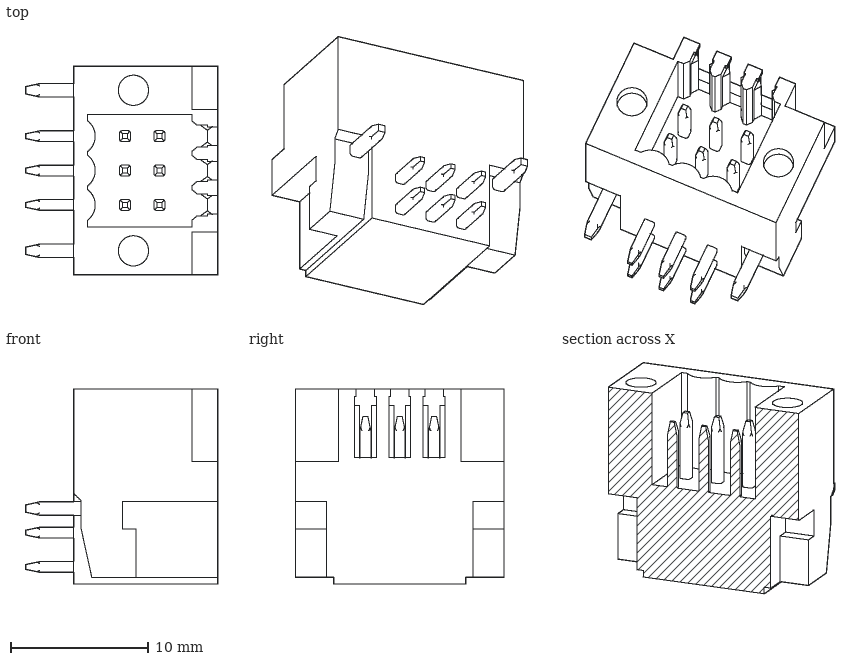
import cadquery as cq

BODY_LENGTH = 10.5
BODY_WIDTH = 15.18
BODY_HEIGHT = 14.2
HALF_WIDTH = BODY_WIDTH / 2

PITCH = 2.5
ROW_Y = (-PITCH, 0, PITCH)
SMALL_PIN_SIZE = 0.8
SMALL_TIP_SIZE = 0.36
SMALL_PIN_ROUND = 0.2
TIP_LENGTH = 1.05
PIN_REACH = 3.5
PIN_ROOT = 1.0
UPPER_PIN_Z = 3.75
LOWER_PIN_Z = UPPER_PIN_Z - PITCH
FIRST_CONTACT_X = 3.74
CONTACT_X = (FIRST_CONTACT_X, FIRST_CONTACT_X + PITCH)
CONTACT_TOP = 12.2

ANCHOR_Y = 5.84
ANCHOR_Z = 5.5
ANCHOR_SIZE = 1.0
ANCHOR_TIP_SIZE = 0.54
ANCHOR_ROUND = 0.25

CAVITY_WIDTH = 8.18
CAVITY_START_X = 1.0
CAVITY_END_X = 8.6
CAVITY_FLOOR_Z = 7.2
SCALLOP_HALF_CHORD = 1.13
SCALLOP_RISE = 0.57

SLOT_MOUTH_HALF = 1.12
SLOT_HALF = 0.8
SLOT_CHAMFER_LENGTH = 0.37
SLOT_STEP_X = 9.73
SLOT_OUTER_FLOOR_Z = 9.2
LIP_HALF_GAP = 0.67
LIP_HEIGHT = 0.55
RIB_HALF_GAP = 0.43
RIB_HALF_LENGTH = 0.5
RIB_TOP_Z = BODY_HEIGHT - 1.2

HOLE_DIAMETER = 2.2
HOLE_X = 4.35
HOLE_DEPTH = 1.1

NOTCH_WIDTH = 3.13
NOTCH_DEPTH = 5.26

LEG_WIDTH = 2.77
LEG_BOTTOM_Z = 0.5
LEG_FACE_X = 0.55
LEG_FOOT_X = 1.32
LEG_CHAMFER_TOP_Z = 6.6
LEG_CHAMFER_BOTTOM_Z = 6.07
LEG_SLANT_TOP_Z = 4.0
UNDERCUT_DEPTH = 2.26
UNDERCUT_TOP_Z = 6.0
UNDERCUT_STEP_Z = 4.0
UNDERCUT_UPPER_X = 3.55
UNDERCUT_LOWER_X = 4.55


def box(x_range, y_range, z_range):
    """Axis-aligned box between the given limits."""
    x0, x1 = x_range
    y0, y1 = y_range
    z0, z1 = z_range
    return cq.Workplane("XY").box(x1 - x0, y1 - y0, z1 - z0, centered=False).translate((x0, y0, z0))


def both_sides(shape):
    """The shape together with its mirror image across the mid-width plane."""
    return shape.union(shape.mirror("XZ"))


def pin(size, tip_size, corner_round, length):
    """Square pin with rounded edges along +Z, ending in a four-sided taper."""
    shaft = cq.Workplane("XY").rect(size, size).extrude(length).edges("|Z").fillet(corner_round)
    taper = (
        cq.Workplane("XY", origin=(0, 0, length - TIP_LENGTH))
        .rect(size, size)
        .workplane(offset=TIP_LENGTH)
        .rect(tip_size, tip_size)
        .loft()
    )
    straight = cq.Workplane("XY").rect(size, size).extrude(length - TIP_LENGTH)
    return shaft.intersect(straight.union(taper))


def solder_pin(size, tip_size, corner_round):
    """Pin on the X axis, rooted in the housing and pointing towards -X."""
    upright = pin(size, tip_size, corner_round, PIN_REACH + PIN_ROOT)
    return upright.rotate((0, 0, 0), (0, 1, 0), -90).translate((PIN_ROOT, 0, 0))


def side_profile(points, depth):
    """X-Z outline cut inwards by depth from the -Y side face."""
    return cq.Workplane("XZ", origin=(0, -HALF_WIDTH, 0)).polyline(points).close().extrude(-depth)


def leg_relief():
    """Material removed ahead of and below the leg on the -Y side."""
    return side_profile(
        [
            (0, 0),
            (0, LEG_CHAMFER_TOP_Z),
            (LEG_FACE_X, LEG_CHAMFER_BOTTOM_Z),
            (LEG_FACE_X, LEG_SLANT_TOP_Z),
            (LEG_FOOT_X, LEG_BOTTOM_Z),
            (BODY_LENGTH, LEG_BOTTOM_Z),
            (BODY_LENGTH, 0),
        ],
        LEG_WIDTH,
    )


def leg_undercut():
    """Stepped recess behind the leg on the -Y side, open to the +X face."""
    return side_profile(
        [
            (UNDERCUT_LOWER_X, LEG_BOTTOM_Z),
            (UNDERCUT_LOWER_X, UNDERCUT_STEP_Z),
            (UNDERCUT_UPPER_X, UNDERCUT_STEP_Z),
            (UNDERCUT_UPPER_X, UNDERCUT_TOP_Z),
            (BODY_LENGTH, UNDERCUT_TOP_Z),
            (BODY_LENGTH, LEG_BOTTOM_Z),
        ],
        UNDERCUT_DEPTH,
    )


def corner_notch():
    """Upper notch in the -Y, +X corner."""
    return box(
        (CAVITY_END_X, BODY_LENGTH),
        (-HALF_WIDTH, -HALF_WIDTH + NOTCH_WIDTH),
        (BODY_HEIGHT - NOTCH_DEPTH, BODY_HEIGHT),
    )


def screw_hole():
    """Blind hole in the top face on the -Y side."""
    top_plane = cq.Workplane("XY", origin=(HOLE_X, -ANCHOR_Y, BODY_HEIGHT))
    return top_plane.circle(HOLE_DIAMETER / 2).extrude(-HOLE_DEPTH)


def plug_cavity():
    """Open-topped cavity whose -X wall swells into one scallop per contact row."""
    half = CAVITY_WIDTH / 2
    outline = (
        cq.Workplane("XY", origin=(0, 0, CAVITY_FLOOR_Z))
        .moveTo(CAVITY_END_X, half)
        .lineTo(CAVITY_END_X, -half)
        .lineTo(CAVITY_START_X, -half)
    )
    for y in ROW_Y:
        outline = outline.lineTo(CAVITY_START_X, y - SCALLOP_HALF_CHORD).threePointArc(
            (CAVITY_START_X + SCALLOP_RISE, y), (CAVITY_START_X, y + SCALLOP_HALF_CHORD)
        )
    return outline.lineTo(CAVITY_START_X, half).close().extrude(BODY_HEIGHT - CAVITY_FLOOR_Z)


def coding_rib():
    """Triangular rib on the -Y wall of a coding slot centred on Y = 0."""
    return (
        cq.Workplane("XY", origin=(0, 0, CAVITY_FLOOR_Z))
        .polyline(
            [
                (SLOT_STEP_X - RIB_HALF_LENGTH, -SLOT_HALF),
                (SLOT_STEP_X, -RIB_HALF_GAP),
                (SLOT_STEP_X + RIB_HALF_LENGTH, -SLOT_HALF),
            ]
        )
        .close()
        .extrude(RIB_TOP_Z - CAVITY_FLOOR_Z)
    )


def coding_slot():
    """Slot through the +X wall at Y = 0, with a chamfered mouth, ribs, top lips and a raised outer floor."""
    chamfer_end_x = CAVITY_END_X + SLOT_CHAMFER_LENGTH
    slot = (
        cq.Workplane("XY", origin=(0, 0, CAVITY_FLOOR_Z))
        .polyline(
            [
                (CAVITY_END_X, -SLOT_MOUTH_HALF),
                (chamfer_end_x, -SLOT_HALF),
                (BODY_LENGTH, -SLOT_HALF),
                (BODY_LENGTH, SLOT_HALF),
                (chamfer_end_x, SLOT_HALF),
                (CAVITY_END_X, SLOT_MOUTH_HALF),
            ]
        )
        .close()
        .extrude(BODY_HEIGHT - CAVITY_FLOOR_Z)
    )
    outer_x = (SLOT_STEP_X, BODY_LENGTH)
    lip = box(outer_x, (-SLOT_HALF, -LIP_HALF_GAP), (BODY_HEIGHT - LIP_HEIGHT, BODY_HEIGHT))
    raised_floor = box(outer_x, (-SLOT_HALF, SLOT_HALF), (CAVITY_FLOOR_Z, SLOT_OUTER_FLOOR_Z))
    return slot.cut(both_sides(coding_rib())).cut(both_sides(lip)).cut(raised_floor)


def housing():
    """Moulded housing without pins."""
    body = box((0, BODY_LENGTH), (-HALF_WIDTH, HALF_WIDTH), (0, BODY_HEIGHT))
    for cutter in (leg_relief(), leg_undercut(), corner_notch(), screw_hole()):
        body = body.cut(both_sides(cutter))
    body = body.cut(plug_cavity())
    for y in ROW_Y:
        body = body.cut(coding_slot().translate((0, y, 0)))
    return body


def add_pins(body):
    """Contacts in the cavity, their solder tails and the two anchor pins."""
    contact_root_z = CAVITY_FLOOR_Z - PIN_ROOT
    contact = pin(SMALL_PIN_SIZE, SMALL_TIP_SIZE, SMALL_PIN_ROUND, CONTACT_TOP - contact_root_z)
    tail = solder_pin(SMALL_PIN_SIZE, SMALL_TIP_SIZE, SMALL_PIN_ROUND)
    for y in ROW_Y:
        for x in CONTACT_X:
            body = body.union(contact.translate((x, y, contact_root_z)))
        for z in (LOWER_PIN_Z, UPPER_PIN_Z):
            body = body.union(tail.translate((0, y, z)))

    anchor = solder_pin(ANCHOR_SIZE, ANCHOR_TIP_SIZE, ANCHOR_ROUND)
    return body.union(both_sides(anchor.translate((0, -ANCHOR_Y, ANCHOR_Z))))


result = add_pins(housing())